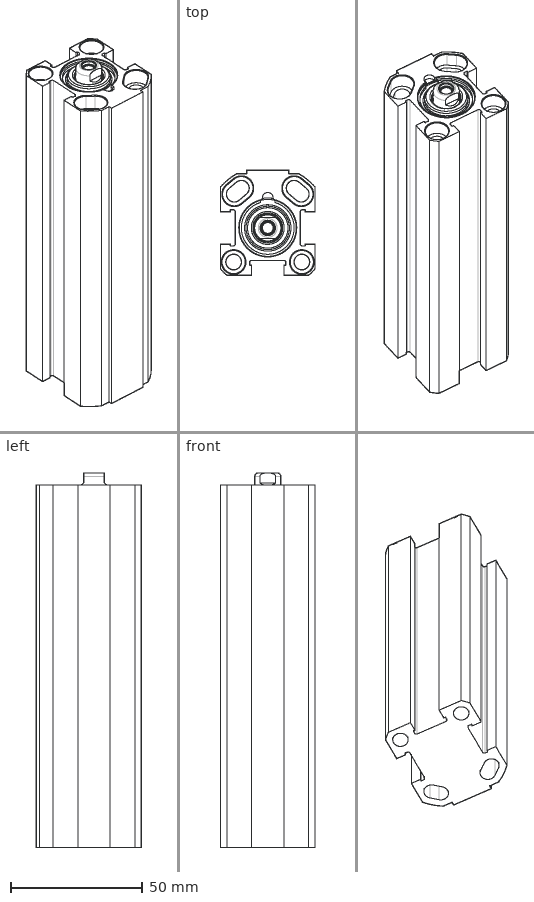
import cadquery as cq
import math


total_height = 142.5
rod_protrusion = 4.5
housing_height = total_height - rod_protrusion
housing_width = 36.0
housing_depth = 40.0
half_width = housing_width / 2
rear_face = housing_depth - half_width
rear_shoulder = 20.7
rear_pad_width = 16.1
corner_radius = 23.8

slot_mouth_width = 12.3
slot_inner_width = 13.7
slot_lip_thickness = 3.8
slot_floor = 12.4
slot_floor_fillet = 0.7

bolt_offset = 13.0
bolt_diameter = 5.8
bolt_head_diameter = 8.8
bolt_head_depth = 6.0
bolt_rim_chamfer = 0.3
chamfer_angle = 45
rear_hole_x = 11.4
rear_hole_y = 14.0
rear_hole_travel = 3.5
rear_hole_slope = 40

recess_diameter = 21.7
recess_depth = 21.4
recess_rim_chamfer = 0.21
ring_outer_diameter = 22.8
ring_inner_diameter = 20.1
ring_top_depth = 1.1
ring_thickness = 1.1
ring_gap = 5.7
ring_seat = housing_height - ring_top_depth - ring_thickness
recess_floor = housing_height - recess_depth
notch_diameter = 4.1
notch_y = 11.4
notch_depth = 2.0

guide_collar_diameter = 17.7
guide_collar_height = 0.4
guide_boss_diameter = 16.5
guide_boss_chamfer = 0.5
guide_mouth_diameter = 11.4
guide_mouth_chamfer = 0.5
guide_mouth_depth = 1.4
guide_clearance_diameter = 10.5
guide_clearance_depth = 2.8

rod_diameter = 10.0
rod_top_fillet = 1.4
flat_spacing = 8.0
flat_bottom = housing_height + 0.7
rod_hole_diameter = 4.1
rod_hole_depth = 11.4
rod_hole_tip_angle = 118
rod_bore_diameter = 5.3
rod_bore_depth = 1.4
rod_bore_chamfer = 0.3


def disc(diameter, bottom, top):
    """An upright cylinder on the rod axis."""
    return cq.Workplane("XY").workplane(offset=bottom).circle(diameter / 2).extrude(top - bottom)


def flared_disc(diameter, bottom, top, flare):
    """A cylinder on the rod axis that widens at 45 degrees by the flare just below its top."""
    radius = diameter / 2
    return (
        cq.Workplane("XZ")
        .polyline([
            (0, bottom),
            (radius, bottom),
            (radius, top - flare),
            (radius + flare, top),
            (0, top),
        ])
        .close()
        .revolve()
    )


def slot_block(travel, diameter, bottom, top):
    """An upright slot shape along X, centred on the rod axis."""
    return cq.Workplane("XY").workplane(offset=bottom).slot2D(travel + diameter, diameter).extrude(top - bottom)


def make_side_slot(angle):
    """A slot with an undercut behind its lips, turned from the front side by the angle."""
    lip_back = half_width - slot_lip_thickness
    inner = (
        cq.Workplane("XY")
        .center(0, -(slot_floor + lip_back) / 2)
        .rect(slot_inner_width, lip_back - slot_floor)
        .extrude(housing_height)
        .edges("|Z and >Y")
        .fillet(slot_floor_fillet)
    )
    mouth = (
        cq.Workplane("XY")
        .center(0, -(slot_floor + half_width) / 2)
        .rect(slot_mouth_width, half_width - slot_floor)
        .extrude(housing_height)
    )
    return inner.union(mouth).rotate((0, 0, 0), (0, 0, 1), angle)


def make_bolt_hole():
    """Cutter for a round counterbored hole with a chamfered rim."""
    head_floor = housing_height - bolt_head_depth
    head = flared_disc(bolt_head_diameter, head_floor, housing_height, bolt_rim_chamfer)
    return disc(bolt_diameter, 0, housing_height).union(head)


def make_slanted_hole():
    """Cutter for an elongated counterbored hole along X, with a chamfered rim."""
    head_floor = housing_height - bolt_head_depth
    rim_diameter = bolt_head_diameter + 2 * bolt_rim_chamfer
    shank = slot_block(rear_hole_travel, bolt_diameter, 0, housing_height)
    head = slot_block(rear_hole_travel, bolt_head_diameter, head_floor, housing_height)
    rim = (
        cq.Workplane("XY")
        .workplane(offset=housing_height)
        .slot2D(rear_hole_travel + rim_diameter, rim_diameter)
        .extrude(-bolt_rim_chamfer, taper=chamfer_angle)
    )
    return shank.union(head).union(rim)


def make_housing():
    """The slotted body, with its mounting holes and the recess for the guide and the ring."""
    depth_to_shoulder = rear_shoulder + half_width
    body = (
        cq.Workplane("XY")
        .center(0, (rear_shoulder - half_width) / 2)
        .rect(housing_width, depth_to_shoulder)
        .extrude(housing_height)
        .intersect(disc(2 * corner_radius, 0, housing_height))
    )
    rear_pad = (
        cq.Workplane("XY")
        .center(0, rear_face / 2)
        .rect(rear_pad_width, rear_face)
        .extrude(housing_height)
    )
    body = body.union(rear_pad)
    for angle in (-90, 0, 90):
        body = body.cut(make_side_slot(angle))
    for side in (-1, 1):
        bolt_hole = make_bolt_hole().translate((side * bolt_offset, -bolt_offset, 0))
        slanted_hole = (
            make_slanted_hole()
            .rotate((0, 0, 0), (0, 0, 1), -side * rear_hole_slope)
            .translate((side * rear_hole_x, rear_hole_y, 0))
        )
        body = body.cut(bolt_hole).cut(slanted_hole)
    notch = disc(notch_diameter, housing_height - notch_depth, housing_height).translate((0, notch_y, 0))
    return (
        body.cut(flared_disc(recess_diameter, recess_floor, housing_height, recess_rim_chamfer))
        .cut(disc(ring_outer_diameter, ring_seat, ring_seat + ring_thickness))
        .cut(notch)
    )


def make_snap_ring():
    """A ring open at the rear, held in the groove of the recess."""
    ring_top = ring_seat + ring_thickness
    ring = disc(ring_outer_diameter, ring_seat, ring_top).cut(disc(ring_inner_diameter, ring_seat, ring_top))
    gap = (
        cq.Workplane("XY")
        .workplane(offset=ring_seat)
        .center(0, ring_outer_diameter / 2)
        .rect(ring_gap, ring_outer_diameter)
        .extrude(ring_thickness)
    )
    return ring.cut(gap)


def make_rod_guide():
    """A plug under the snap ring, with a boss that rises level with the housing."""
    boss = disc(guide_boss_diameter, ring_seat, housing_height).faces(">Z").edges().chamfer(guide_boss_chamfer)
    collar = disc(guide_collar_diameter, ring_seat, ring_seat + guide_collar_height)
    guide = disc(recess_diameter, recess_floor, ring_seat).union(collar).union(boss)
    mouth = flared_disc(
        guide_mouth_diameter, housing_height - guide_mouth_depth, housing_height, guide_mouth_chamfer
    )
    clearance = disc(guide_clearance_diameter, housing_height - guide_clearance_depth, housing_height)
    return guide.cut(mouth).cut(clearance).cut(disc(rod_diameter, recess_floor, housing_height))


def make_rod_hole():
    """Cutter for the drilled end hole, with its wider mouth and conical bottom."""
    hole_radius = rod_hole_diameter / 2
    bore_radius = rod_bore_diameter / 2
    tip_height = hole_radius / math.tan(math.radians(rod_hole_tip_angle / 2))
    hole_bottom = total_height - rod_hole_depth
    bore_bottom = total_height - rod_bore_depth
    return (
        cq.Workplane("XZ")
        .polyline([
            (0, hole_bottom - tip_height),
            (hole_radius, hole_bottom),
            (hole_radius, bore_bottom - rod_bore_chamfer),
            (hole_radius + rod_bore_chamfer, bore_bottom),
            (bore_radius, bore_bottom),
            (bore_radius, total_height - rod_bore_chamfer),
            (bore_radius + rod_bore_chamfer, total_height),
            (0, total_height),
        ])
        .close()
        .revolve()
    )


def make_rod():
    """The piston rod, with two wrench flats and a hole in its end."""
    rod = disc(rod_diameter, recess_floor, total_height).faces(">Z").edges().fillet(rod_top_fillet)
    flat_y = flat_spacing / 2
    run_out = rod_diameter / 2
    side_cut = (
        cq.Workplane("YZ")
        .polyline([
            (flat_y, flat_bottom),
            (flat_y + run_out, flat_bottom - run_out),
            (flat_y + run_out, total_height),
            (flat_y, total_height),
        ])
        .close()
        .extrude(rod_diameter / 2, both=True)
    )
    return rod.cut(side_cut).cut(side_cut.mirror("XZ")).cut(make_rod_hole())


housing = make_housing()
snap_ring = make_snap_ring()
rod_guide = make_rod_guide()
rod = make_rod()
result = cq.Compound.makeCompound([housing.val(), snap_ring.val(), rod_guide.val(), rod.val()])